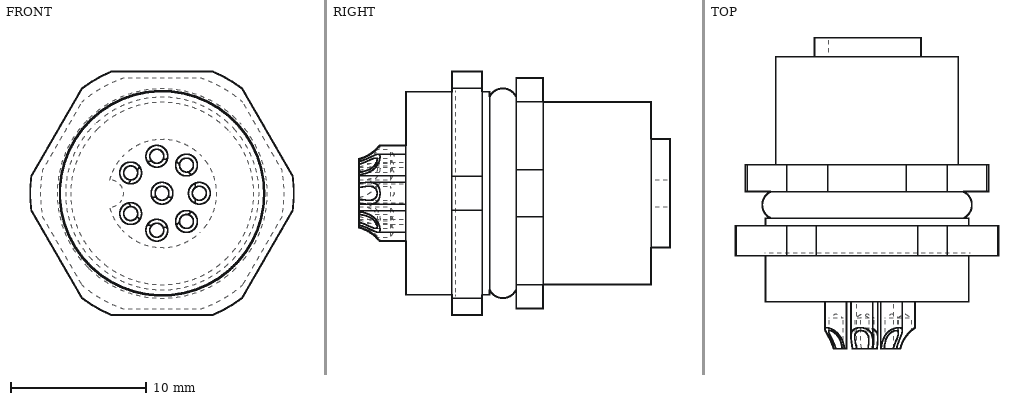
import cadquery as cq
import math

pin_root_y = 3.47
front_nut_y = 6.88
front_nut_back_y = 9.1
flange_back_y = 9.65
rear_nut_y = 11.62
rear_nut_back_y = 13.62
shell_back_y = 21.6
mating_face_y = 23.0

body_diameter = 15.05
shell_diameter = 13.52
insert_diameter = 8.03

front_nut_flats = 18.0
front_nut_round = 19.5
rear_nut_flats = 17.05
rear_nut_round = 18.0

clearance_gap = 0.07
clearance_depth = 0.23

seal_outer_diameter = 15.52
seal_section_radius = 1.08

key_radius = 1.01

pin_diameter = 1.6
pin_circle_radius = 2.75
pin_spacing_angle = 49
middle_pin_angle = 90
cup_bore_diameter = 1.04
cup_bore_depth = 2.3
drill_tip_angle = 118
cup_cut_length = 1.56
cup_cut_depth = 1.1
cup_cut_sagitta = 0.18


def cylinder_y(diameter, start_y, end_y):
    """Solid cylinder about the Y axis."""
    face = cq.Workplane("XZ", origin=(0, start_y, 0)).circle(diameter / 2)
    return face.extrude(start_y - end_y)


def nut(flats, round_diameter, start_y, end_y):
    """Hexagon about the Y axis, flats facing up and down, with rounded-off corners."""
    corner_diameter = flats / math.cos(math.radians(30))
    hexagon = cq.Workplane("XZ", origin=(0, start_y, 0)).polygon(6, corner_diameter)
    return hexagon.extrude(start_y - end_y).intersect(cylinder_y(round_diameter, start_y, end_y))


def clearance_ring():
    """Thin ring of space in the nut's front face, just outside the body."""
    end_y = front_nut_y + clearance_depth
    outer = cylinder_y(body_diameter + 2 * clearance_gap, front_nut_y, end_y)
    return outer.cut(cylinder_y(body_diameter, front_nut_y, end_y))


def seal():
    """Ring with a round outer side, flattened by the flange and the rear nut."""
    outer_radius = seal_outer_diameter / 2
    half_width = (rear_nut_y - flange_back_y) / 2
    middle_y = flange_back_y + half_width
    side_x = outer_radius - seal_section_radius + math.sqrt(seal_section_radius**2 - half_width**2)
    section = (
        cq.Workplane("XY")
        .moveTo(0, flange_back_y)
        .lineTo(side_x, flange_back_y)
        .threePointArc((outer_radius, middle_y), (side_x, rear_nut_y))
        .lineTo(0, rear_nut_y)
        .close()
    )
    return section.revolve(360, (0, 0), (0, 1))


def coding_groove():
    """Half-round groove whose full width meets the outside of the insert."""
    insert_radius = insert_diameter / 2
    centre_x = -math.sqrt(insert_radius**2 - key_radius**2)
    profile = cq.Workplane("XZ", origin=(centre_x, shell_back_y, 0)).circle(key_radius)
    return profile.extrude(shell_back_y - mating_face_y)


def solder_pin():
    """Pin about the Y axis, with a drilled cup that is cut open towards +X."""
    pin_radius = pin_diameter / 2
    bore_radius = cup_bore_diameter / 2
    tip_length = bore_radius / math.tan(math.radians(drill_tip_angle / 2))
    bore = (
        cq.Workplane("XY")
        .lineTo(bore_radius, 0)
        .lineTo(bore_radius, cup_bore_depth)
        .lineTo(0, cup_bore_depth + tip_length)
        .close()
        .revolve(360, (0, 0), (0, 1))
    )
    opening = (
        cq.Workplane("XY")
        .moveTo(pin_radius, cup_cut_length)
        .sagittaArc((pin_radius - cup_cut_depth, 0), -cup_cut_sagitta)
        .lineTo(pin_radius, 0)
        .close()
        .extrude(pin_radius, both=True)
    )
    return cylinder_y(pin_diameter, 0, pin_root_y).cut(bore).cut(opening)


def turned(shape, angle):
    """Turn a shape about the Y axis, taking +X towards +Z."""
    return shape.rotate((0, 0, 0), (0, 1, 0), -angle)


result = cylinder_y(body_diameter, pin_root_y, flange_back_y)
result = result.union(cylinder_y(shell_diameter, flange_back_y, shell_back_y))
result = result.union(nut(front_nut_flats, front_nut_round, front_nut_y, front_nut_back_y))
result = result.union(nut(rear_nut_flats, rear_nut_round, rear_nut_y, rear_nut_back_y))
result = result.union(seal())
result = result.cut(clearance_ring())
insert = cylinder_y(insert_diameter, shell_back_y, mating_face_y)
result = result.union(insert.cut(coding_groove()))

pin = solder_pin()
result = result.union(turned(pin, middle_pin_angle))
for step in range(-3, 4):
    outer_pin = turned(pin.translate((pin_circle_radius, 0, 0)), step * pin_spacing_angle)
    result = result.union(outer_pin)